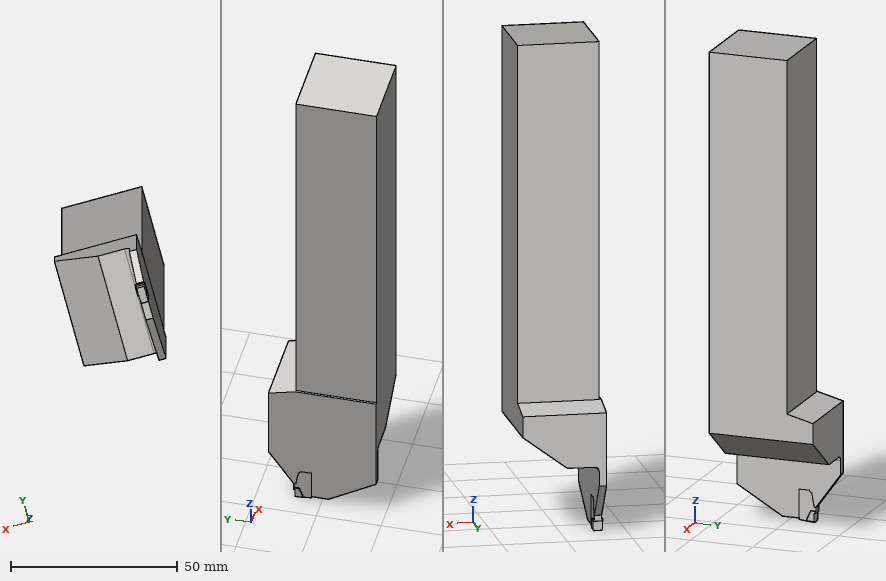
import cadquery as cq

total_height = 151.4
total_width = 26.0
shank_size = 25.0
shank_left = total_width - shank_size

edge_width = 3.0
blade_width = 2.3
blade_left = (edge_width - blade_width) / 2
blade_right = blade_left + blade_width
edge_corner_chamfer = 0.5

head_depth = 33.3
head_top = 40.5
head_back_top = 38.5
head_back_bottom = 15.9
head_front_bottom = 9.5
head_bottom = 0.9
bottom_front = 14.7
bottom_back = 22.5

relief_outer_height = 32.0
relief_ceiling = 21.8
relief_slope_start = 12.4
relief_fillet = 1.5

insert_front = 20.0
insert_top = 10.0
insert_bottom = 0.5
insert_top_back = 24.0
insert_top_chamfer = 0.9
neck_back = 24.8
nose_back = 25.5
nose_top = 4.8
nose_bottom = 3.0
tip_back = 25.0
edge_top = 3.6
edge_front_top = 23.8


def extrude_along_x(points, left, width):
    """Extrude a (Y, Z) outline in X, starting from left."""
    return cq.Workplane("YZ", origin=(left, 0, 0)).polyline(points).close().extrude(width)


def make_insert_neck():
    return extrude_along_x(
        [
            (insert_front, insert_bottom),
            (insert_front, insert_top),
            (insert_top_back - insert_top_chamfer, insert_top),
            (insert_top_back, insert_top - insert_top_chamfer),
            (neck_back, nose_top),
            (nose_back, nose_top),
            (nose_back, nose_bottom),
            (tip_back, nose_bottom),
            (tip_back, 0),
        ],
        blade_left,
        blade_width,
    )


def make_cutting_edge():
    """Wide lower end of the insert, with its two bottom corners chamfered."""
    outline = extrude_along_x(
        [
            (bottom_back, 0),
            (bottom_back, head_bottom),
            (edge_front_top, edge_top),
            (nose_back, edge_top),
            (nose_back, nose_bottom),
            (tip_back, nose_bottom),
            (tip_back, 0),
        ],
        0,
        edge_width,
    )
    underside = extrude_along_x(
        [
            (bottom_back, 0),
            (tip_back, 0),
            (insert_front, insert_bottom),
        ],
        0,
        edge_width,
    )
    chamfered_block = (
        cq.Workplane("XY")
        .box(edge_width, head_depth, edge_top, centered=False)
        .edges("|Y and <Z")
        .chamfer(edge_corner_chamfer)
    )
    return outline.cut(underside).intersect(chamfered_block)


def make_insert():
    return make_insert_neck().union(make_cutting_edge())


def make_head():
    """Full-width head, relieved on the right so that a thin blade is left."""
    block = extrude_along_x(
        [
            (0, head_front_bottom),
            (0, head_top),
            (shank_size, head_top),
            (head_depth, head_back_top),
            (head_depth, head_back_bottom),
            (bottom_back, head_bottom),
            (bottom_front, head_bottom),
        ],
        blade_left,
        total_width - blade_left,
    )
    relief = (
        cq.Workplane("XZ")
        .moveTo(blade_right, 0)
        .lineTo(blade_right, relief_ceiling - relief_fillet)
        .radiusArc((blade_right + relief_fillet, relief_ceiling), relief_fillet)
        .lineTo(relief_slope_start, relief_ceiling)
        .lineTo(total_width, relief_outer_height)
        .lineTo(total_width, 0)
        .close()
        .extrude(-head_depth)
    )
    return block.cut(relief)


def make_shank():
    return cq.Workplane("XY", origin=(shank_left, 0, head_top)).box(
        shank_size, shank_size, total_height - head_top, centered=False
    )


insert = make_insert()
holder = make_shank().union(make_head()).cut(insert)

result = cq.Compound.makeCompound([holder.val(), insert.val()])